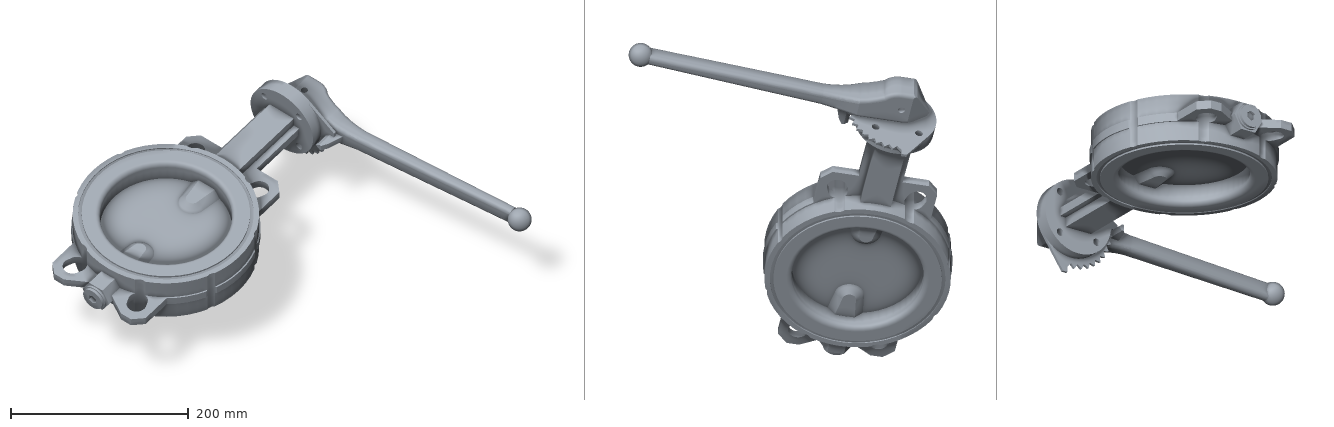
import cadquery as cq
import math


BODY_RADIUS = 105.0
BODY_HALF_HEIGHT = 28.3
LINER_RADIUS = 95.0
LINER_HALF_HEIGHT = 29.0
GROOVE_RADIUS = 98.95
GROOVE_DEPTH = 1.3
BORE_RADIUS = 74.5
LIP_RADIUS = 6.0

PLATE_HALF_THICKNESS = 5.0
PLATE_RADIUS = 106.8
LUG_HALF_WIDTH = 67.0
LUG_END = 133.0
LUG_CHAMFER = 12.0
LUG_FOOT_INNER = 41.0
NOTCH_APEX = 109.0

SLOT_ANGLE = 67.5
SLOT_DIAMETER = 22.5
SLOT_INNER_CENTER = 114.5
SLOT_OUTER_CENTER = 120.3
NOTCH_ANGLE = 22.5
NOTCH_CENTER = 112.5
NOTCH_DIAMETER = 18.0

NECK_HALF_WIDTH = 17.5
NECK_HALF_HEIGHT = 16.65
NECK_RIB_HALF_WIDTH = 25.1
FLANGE_BASE = 209.7
FLANGE_RADIUS = 44.95
FLANGE_THICKNESS = 14.5
FLANGE_HOLE_DIAMETER = 9.0
FLANGE_HOLE_OFFSET = 25.0

QUADRANT_BASE = FLANGE_BASE + FLANGE_THICKNESS
QUADRANT_THICKNESS = 3.5
QUADRANT_TOP = QUADRANT_BASE + QUADRANT_THICKNESS
TOOTH_ROOT_RADIUS = 51.5
TOOTH_TIP_RADIUS = 57.0
TOOTH_STEP = 10
TOOTH_COUNT = 9
HORN_LENGTH = 63.7
HORN_INNER = 4.5
HORN_OUTER = 11.0
QUADRANT_SHOULDER = (35.5, 28.0)

DRIVE_WIDTH = 17.0
DRIVE_CHAMFER = 4.2

PLUG_ACROSS_FLATS = 33.0
PLUG_START = 84.5
PLUG_HEX_END = 127.0
COLLAR_RADIUS = 30.0 / 2
COLLAR_END = 129.5
CAP_RADIUS = 27.0 / 2
CAP_END = LUG_END
SOCKET_ACROSS_FLATS = 10.0
SOCKET_DEPTH = 4.2

DISC_HALF_THICKNESS = 4.2
HUB_HEIGHT = 7.5
HUB_TIP = 48.5
HUB_TIP_RADIUS = 17.0
HUB_OUTER_HALF_WIDTH = 22.0
HUB_OVERRUN = 8.5
HUB_TAPER = 50

LEVER_BOTTOM = 230.0
LEVER_TOP = 273.5
LEVER_EDGE_RADIUS = 4.5
HEAD_HALF_WIDTH = 16.65
HEAD_END = 48.0
HEAD_END_TOP = 255.5
NOSE_X = -34.0
NOSE_TOP = (NOSE_X, 240.5)
NOSE_BOTTOM = (-32.0, 236.5)
NOSE_HALF_WIDTH = 2.5
NOSE_ROOT_X = -10.0
CROWN_START = (-14.5, 270.5)
CROWN_FLAT_START = -10.0
CROWN_FLAT_END = 4.2
CROWN_END = (22.5, 265.0)
SADDLE_MIDPOINT = (34.5, 259.5)
UNDERSIDE_START = -5.5
PIVOT_DIAMETER = 8.0
PIVOT_HEIGHT = 250.5

HEAD_SECTION = (HEAD_END, LEVER_BOTTOM, HEAD_END_TOP, HEAD_HALF_WIDTH)
NECK_SECTION = (67.5, 231.3, 252.5, 12.45)
GRIP_SECTION = (90.0, 234.0, 252.0, 10.35)
KNOB_SECTION = (292.0, 255.0, 267.0, 10.35)

KNOB_RADIUS = 13.5
KNOB_CENTER = (301.7, 261.0, 0)

PAWL_HALF_WIDTH = 4.0
PAWL_APEX = 52.5
PAWL_FACE = 57.5
PAWL_END = 205.5
PAWL_HEEL_END = 60.0
PAWL_HEEL = (64.5, 213.5)
PAWL_ROOT = (71.0, 233.8)


def polar(radius, angle):
    """Point at a radius and an angle in degrees from the first axis."""
    return (radius * math.cos(math.radians(angle)), radius * math.sin(math.radians(angle)))


def slab(half_height):
    """Workplane at the bottom of a layer that is symmetric about Z = 0."""
    return cq.Workplane("XY").workplane(offset=-half_height)


def along_stem(height):
    """Workplane across the stem at a height on Y; its axes are X and Z and its normal is -Y."""
    return cq.Workplane("XZ", origin=(0, height, 0))


def body_ring():
    ring = slab(BODY_HALF_HEIGHT).circle(BODY_RADIUS).extrude(2 * BODY_HALF_HEIGHT)
    groove_floor = BODY_HALF_HEIGHT - GROOVE_DEPTH
    for side in (1, -1):
        face = cq.Workplane("XY").workplane(offset=side * groove_floor)
        ring = ring.cut(face.circle(GROOVE_RADIUS).extrude(side * GROOVE_DEPTH))
    return ring


def lug_plate():
    shoulder = LUG_END - LUG_CHAMFER
    corner = LUG_HALF_WIDTH - LUG_CHAMFER
    lugs = (
        slab(PLATE_HALF_THICKNESS)
        .moveTo(-corner, LUG_END)
        .lineTo(corner, LUG_END)
        .lineTo(LUG_HALF_WIDTH, shoulder)
        .lineTo(LUG_HALF_WIDTH, -shoulder)
        .lineTo(corner, -LUG_END)
        .lineTo(LUG_FOOT_INNER, -LUG_END)
        .lineTo(0, -NOTCH_APEX)
        .lineTo(-LUG_FOOT_INNER, -LUG_END)
        .lineTo(-corner, -LUG_END)
        .lineTo(-LUG_HALF_WIDTH, -shoulder)
        .lineTo(-LUG_HALF_WIDTH, shoulder)
        .close()
        .extrude(2 * PLATE_HALF_THICKNESS)
    )
    rim = slab(PLATE_HALF_THICKNESS).circle(PLATE_RADIUS).extrude(2 * PLATE_HALF_THICKNESS)
    return lugs.union(rim)


def bolt_cutters():
    """Four radial slots through the lugs and four round notches in the rim."""
    height = 2 * BODY_HALF_HEIGHT
    slot_length = SLOT_OUTER_CENTER - SLOT_INNER_CENTER + SLOT_DIAMETER
    slot_center = (SLOT_OUTER_CENTER + SLOT_INNER_CENTER) / 2
    cutters = cq.Workplane("XY")
    for half_turn in (0, 180):
        for side in (1, -1):
            slot_angle = half_turn + side * SLOT_ANGLE
            slot = slab(BODY_HALF_HEIGHT).center(slot_center, 0).slot2D(slot_length, SLOT_DIAMETER)
            cutters = cutters.add(slot.extrude(height).rotate((0, 0, 0), (0, 0, 1), slot_angle))
            notch_center = polar(NOTCH_CENTER, half_turn + side * NOTCH_ANGLE)
            notch = slab(BODY_HALF_HEIGHT).center(*notch_center).circle(NOTCH_DIAMETER / 2)
            cutters = cutters.add(notch.extrude(height))
    return cutters


def neck():
    core = along_stem(0).rect(2 * NECK_HALF_WIDTH, 2 * NECK_HALF_HEIGHT).extrude(-FLANGE_BASE)
    rib = along_stem(0).rect(2 * NECK_RIB_HALF_WIDTH, 2 * PLATE_HALF_THICKNESS).extrude(-FLANGE_BASE)
    return core.union(rib)


def top_flange():
    return along_stem(FLANGE_BASE).circle(FLANGE_RADIUS).extrude(-FLANGE_THICKNESS)


def flange_holes():
    spacing = 2 * FLANGE_HOLE_OFFSET
    holes = along_stem(FLANGE_BASE).rarray(spacing, spacing, 2, 2).circle(FLANGE_HOLE_DIAMETER / 2)
    return holes.extrude(FLANGE_BASE - QUADRANT_TOP)


def stop_plate():
    """Disc with a quarter-turn toothed sector between two stop horns, mirrored about its diagonal."""
    shoulder_far, shoulder_near = QUADRANT_SHOULDER
    horn_root = math.sqrt(TOOTH_TIP_RADIUS**2 - HORN_INNER**2)
    outline = [
        (-shoulder_far, -shoulder_near),
        (-HORN_OUTER, -HORN_LENGTH),
        (-HORN_INNER, -HORN_LENGTH),
        (-HORN_INNER, -horn_root),
    ]
    for tooth in range(TOOTH_COUNT):
        root_angle = -90 + tooth * TOOTH_STEP
        outline.append(polar(TOOTH_ROOT_RADIUS, root_angle))
        outline.append(polar(TOOTH_TIP_RADIUS, root_angle + TOOTH_STEP / 2))
    outline += [
        (TOOTH_ROOT_RADIUS, 0),
        (horn_root, HORN_INNER),
        (HORN_LENGTH, HORN_INNER),
        (HORN_LENGTH, HORN_OUTER),
        (shoulder_near, shoulder_far),
    ]
    sector = along_stem(QUADRANT_BASE).polyline(outline).close().extrude(-QUADRANT_THICKNESS)
    return sector.union(along_stem(QUADRANT_BASE).circle(FLANGE_RADIUS).extrude(-QUADRANT_THICKNESS))


def stem_drive():
    drive = along_stem(QUADRANT_TOP).rect(DRIVE_WIDTH, DRIVE_WIDTH).extrude(QUADRANT_TOP - LEVER_BOTTOM)
    return drive.edges("|Y").chamfer(DRIVE_CHAMFER)


def hexagon(plane, across_flats):
    """Hexagon outline with its corners on the first axis of the plane."""
    return plane.polygon(6, across_flats / math.cos(math.radians(30)))


def bottom_plug():
    plug = hexagon(along_stem(-PLUG_START), PLUG_ACROSS_FLATS).extrude(PLUG_HEX_END - PLUG_START)
    collar = along_stem(-PLUG_HEX_END).circle(COLLAR_RADIUS).extrude(COLLAR_END - PLUG_HEX_END)
    cap = along_stem(-COLLAR_END).circle(CAP_RADIUS).extrude(CAP_END - COLLAR_END)
    socket = hexagon(along_stem(-CAP_END), SOCKET_ACROSS_FLATS).extrude(-SOCKET_DEPTH)
    socket = socket.rotate((0, 0, 0), (0, 1, 0), 90)
    return plug.union(collar).union(cap).cut(socket)


def liner():
    """Liner solid with a rounded lip at each end of the bore."""
    blank = slab(LINER_HALF_HEIGHT).circle(LINER_RADIUS).extrude(2 * LINER_HALF_HEIGHT)
    bore = slab(LINER_HALF_HEIGHT).circle(BORE_RADIUS).extrude(2 * LINER_HALF_HEIGHT)
    return blank.cut(bore).edges(cq.selectors.RadiusNthSelector(0)).fillet(LIP_RADIUS)


def disc():
    """Closing disc with a tapered stem hub at both ends of both faces."""
    plate = slab(DISC_HALF_THICKNESS).circle(BORE_RADIUS).extrude(2 * DISC_HALF_THICKNESS)
    hub_end = BORE_RADIUS + HUB_OVERRUN
    hub = (
        cq.Workplane("XY")
        .workplane(offset=DISC_HALF_THICKNESS)
        .moveTo(-HUB_TIP_RADIUS, HUB_TIP)
        .threePointArc((0, HUB_TIP - HUB_TIP_RADIUS), (HUB_TIP_RADIUS, HUB_TIP))
        .lineTo(HUB_OUTER_HALF_WIDTH, hub_end)
        .lineTo(-HUB_OUTER_HALF_WIDTH, hub_end)
        .close()
        .extrude(HUB_HEIGHT, taper=HUB_TAPER)
    )
    limit = slab(BODY_HALF_HEIGHT).circle(BORE_RADIUS).extrude(2 * BODY_HALF_HEIGHT)
    hub = hub.intersect(limit)
    for end_hub in (hub, hub.mirror("XZ")):
        plate = plate.union(end_hub).union(end_hub.mirror("XY"))
    return plate


def make_valve():
    shell = body_ring().union(lug_plate()).union(neck()).union(bottom_plug())
    shell = shell.cut(bolt_cutters())
    hollow = slab(BODY_HALF_HEIGHT).circle(LINER_RADIUS).extrude(2 * BODY_HALF_HEIGHT)
    valve_body = shell.cut(hollow).union(liner()).union(disc())
    head = top_flange().union(stop_plate()).cut(flange_holes()).union(stem_drive())
    return valve_body.union(head)


def lever_head():
    """Head block with a wedge nose, rounded along its crown and its underside."""
    block = (
        slab(HEAD_HALF_WIDTH)
        .moveTo(*NOSE_TOP)
        .lineTo(*CROWN_START)
        .lineTo(CROWN_FLAT_START, LEVER_TOP)
        .lineTo(CROWN_FLAT_END, LEVER_TOP)
        .tangentArcPoint(CROWN_END, relative=False)
        .threePointArc(SADDLE_MIDPOINT, (HEAD_END, HEAD_END_TOP))
        .lineTo(HEAD_END, LEVER_BOTTOM)
        .lineTo(UNDERSIDE_START, LEVER_BOTTOM)
        .lineTo(*NOSE_BOTTOM)
        .close()
        .extrude(2 * HEAD_HALF_WIDTH)
    )
    plan_outline = [
        (NOSE_X, -NOSE_HALF_WIDTH),
        (NOSE_X, NOSE_HALF_WIDTH),
        (NOSE_ROOT_X, HEAD_HALF_WIDTH),
        (HEAD_END, HEAD_HALF_WIDTH),
        (HEAD_END, -HEAD_HALF_WIDTH),
        (NOSE_ROOT_X, -HEAD_HALF_WIDTH),
    ]
    plan = along_stem(LEVER_BOTTOM).polyline(plan_outline).close().extrude(LEVER_BOTTOM - LEVER_TOP)
    block = block.intersect(plan)
    side_edges = block.faces("<Z or >Z").edges("not |Y")
    return side_edges.fillet(LEVER_EDGE_RADIUS)


def lever_section(x, underside, top, half_width):
    """Rounded rectangle across the lever, ready for lofting."""
    outline = cq.Sketch().rect(top - underside, 2 * half_width).vertices().fillet(LEVER_EDGE_RADIUS)
    return outline.moved(cq.Location(cq.Vector((top + underside) / 2, 0, x)))


def lever_arm():
    """Waisted neck behind the head, then the straight tapered grip."""
    cross = cq.Workplane("YZ")
    neck_sections = [lever_section(*size) for size in (HEAD_SECTION, NECK_SECTION, GRIP_SECTION)]
    grip_sections = [lever_section(*size) for size in (GRIP_SECTION, KNOB_SECTION)]
    waist = cross.placeSketch(*neck_sections).loft()
    grip = cross.placeSketch(*grip_sections).loft(ruled=True)
    return waist.union(grip)


def pawl():
    """Finger with a wedge tooth that points at the stem and a sloping back."""
    finger = (
        slab(PAWL_HALF_WIDTH)
        .moveTo(PAWL_APEX, PAWL_ROOT[1])
        .lineTo(PAWL_APEX, PAWL_END)
        .lineTo(PAWL_HEEL_END, PAWL_END)
        .lineTo(*PAWL_HEEL)
        .lineTo(*PAWL_ROOT)
        .close()
        .extrude(2 * PAWL_HALF_WIDTH)
    )
    wedge_outline = [
        (PAWL_APEX, 0),
        (PAWL_FACE, PAWL_HALF_WIDTH),
        (PAWL_ROOT[0], PAWL_HALF_WIDTH),
        (PAWL_ROOT[0], -PAWL_HALF_WIDTH),
        (PAWL_FACE, -PAWL_HALF_WIDTH),
    ]
    wedge = along_stem(PAWL_END).polyline(wedge_outline).close().extrude(PAWL_END - PAWL_ROOT[1])
    return finger.intersect(wedge)


def make_lever():
    knob = cq.Workplane("XY", origin=KNOB_CENTER).sphere(KNOB_RADIUS)
    pivot = slab(HEAD_HALF_WIDTH).center(0, PIVOT_HEIGHT).circle(PIVOT_DIAMETER / 2)
    pivot_hole = pivot.extrude(2 * HEAD_HALF_WIDTH)
    return lever_head().cut(pivot_hole).union(lever_arm()).union(pawl()).union(knob)


valve = make_valve()
lever = make_lever()
result = cq.Compound.makeCompound([valve.val(), lever.val()])